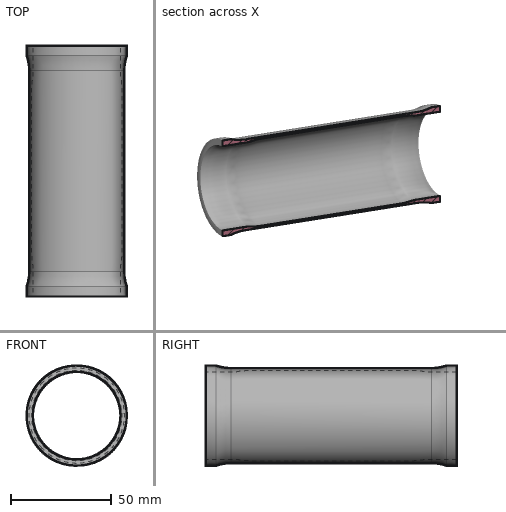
import cadquery as cq
import math

length = 125.0
collar_radius = 25.0
body_radius = 23.8
mouth_radius = 21.8
bore_radius = 22.5
mouth_length = 15.0
bore_blend_length = 6.2
collar_length = 5.0
flare_length = 7.5

half_length = length / 2
flare_outer_y = half_length - collar_length
flare_inner_y = flare_outer_y - flare_length
mouth_inner_y = half_length - mouth_length
bore_end_y = mouth_inner_y - bore_blend_length



def blend_midpoint(tangent_radius, tangent_y, end_radius, end_y):
    """Midpoint of an arc that leaves tangent_radius parallel to Y and meets the end point."""
    rise = end_radius - tangent_radius
    run = end_y - tangent_y
    arc_radius = (run**2 + rise**2) / (2 * abs(rise))
    half_sweep = math.asin(abs(run) / arc_radius) / 2
    mid_radius = tangent_radius + math.copysign(arc_radius * (1 - math.cos(half_sweep)), rise)
    mid_y = tangent_y + math.copysign(arc_radius * math.sin(half_sweep), run)
    return mid_radius, mid_y


flare_mid_radius, flare_mid_y = blend_midpoint(
    body_radius, flare_inner_y, collar_radius, flare_outer_y
)
bore_mid_radius, bore_mid_y = blend_midpoint(
    bore_radius, bore_end_y, mouth_radius, mouth_inner_y
)

wall_section = (
    cq.Workplane("XY")
    .moveTo(mouth_radius, -half_length)
    .lineTo(collar_radius, -half_length)
    .lineTo(collar_radius, -flare_outer_y)
    .threePointArc((flare_mid_radius, -flare_mid_y), (body_radius, -flare_inner_y))
    .lineTo(body_radius, flare_inner_y)
    .threePointArc((flare_mid_radius, flare_mid_y), (collar_radius, flare_outer_y))
    .lineTo(collar_radius, half_length)
    .lineTo(mouth_radius, half_length)
    .lineTo(mouth_radius, mouth_inner_y)
    .threePointArc((bore_mid_radius, bore_mid_y), (bore_radius, bore_end_y))
    .lineTo(bore_radius, -bore_end_y)
    .threePointArc((bore_mid_radius, -bore_mid_y), (mouth_radius, -mouth_inner_y))
    .close()
)

result = wall_section.revolve(360, (0, 0, 0), (0, 1, 0))